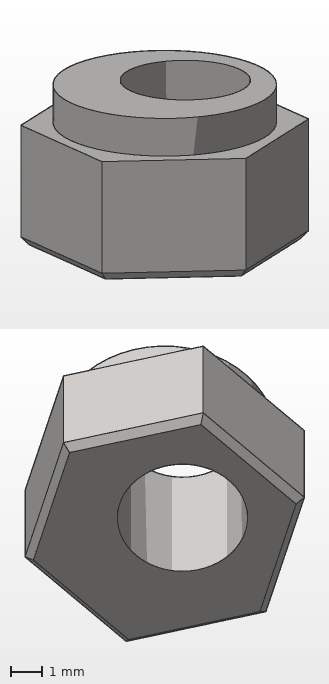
import cadquery as cq

corner_diameter = 9.18
body_height = 4.0

taper_height = 0.275
base_corner_diameter = corner_diameter - 2 * taper_height

collar_diameter = 7.11
collar_height = 1.26
total_height = body_height + collar_height

hole_diameter = 4.14
hole_offset = 0.79


def make_body():
    """Hexagonal prism with two corners on the X axis and a tapered base."""
    taper = (
        cq.Workplane("XY")
        .polygon(6, base_corner_diameter)
        .workplane(offset=taper_height)
        .polygon(6, corner_diameter)
        .loft(ruled=True)
    )
    prism = (
        cq.Workplane("XY")
        .workplane(offset=taper_height)
        .polygon(6, corner_diameter)
        .extrude(body_height - taper_height)
    )
    return taper.union(prism)


def make_collar():
    """Cylinder standing on the body, centred on the hexagon."""
    return (
        cq.Workplane("XY")
        .workplane(offset=body_height)
        .circle(collar_diameter / 2)
        .extrude(collar_height)
    )


def make_hole():
    """Bore through the full height, shifted towards +Y."""
    return (
        cq.Workplane("XY")
        .center(0, hole_offset)
        .circle(hole_diameter / 2)
        .extrude(total_height)
    )


result = make_body().union(make_collar()).cut(make_hole())